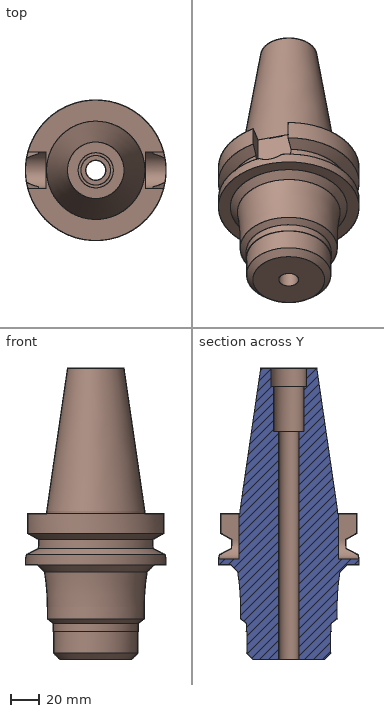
import cadquery as cq
import math


GAUGE_DIAMETER = 69.85
TAPER_RATIO = 7 / 24
TAPER_LENGTH = 101.8
NOSE_REACH = 105.2
OVERALL_LENGTH = TAPER_LENGTH + NOSE_REACH

FLANGE_DIAMETER = 100.0
FLANGE_TOP = 1.5
FLANGE_BOTTOM = 38.0
GROOVE_CENTER = 23.2
GROOVE_WIDTH = 15.0
GROOVE_FLOOR_DIAMETER = 85.0
GROOVE_FLANK_ANGLE = 30.0

FLANGE_CONE_RADIUS = 41.5
FLANGE_CONE_HEIGHT = 5.0

BODY_TOP_RADIUS = 36.5
BODY_RADIUS = 34.5
FLARE_BOTTOM = 37.0
BODY_BOTTOM = 28.9
NOSE_RADIUS = 30.0
NOSE_NECK_RADIUS = 30.25
NOSE_NECK_TOP = 25.6
NOSE_NECK_BOTTOM = 20.0
NOSE_CHAMFER = 4.5

SLOT_WIDTH = 25.7
SLOT_FLOOR_RADIUS = 35.4
SLOT_REACH = 33.8

COUNTERBORE_DIAMETER = 25.0
COUNTERBORE_DEPTH = 13.0
THREAD_BORE_DIAMETER = 21.0
THREAD_BORE_DEPTH = 45.0
THROUGH_DIAMETER = 14.0

gauge_radius = GAUGE_DIAMETER / 2
flange_radius = FLANGE_DIAMETER / 2
flange_top_z = NOSE_REACH - FLANGE_TOP
flange_bottom_z = NOSE_REACH - FLANGE_BOTTOM


def make_body():
    """Revolve the outer profile: taper, flange, flared body and nose."""
    taper_end_radius = gauge_radius - TAPER_LENGTH * TAPER_RATIO / 2
    flare_top = flange_bottom_z - FLANGE_CONE_HEIGHT
    profile = (
        cq.Workplane("XZ")
        .moveTo(0, 0)
        .lineTo(NOSE_RADIUS - NOSE_CHAMFER, 0)
        .lineTo(NOSE_RADIUS, NOSE_CHAMFER)
        .lineTo(NOSE_RADIUS, NOSE_NECK_BOTTOM)
        .lineTo(NOSE_NECK_RADIUS, NOSE_NECK_BOTTOM)
        .lineTo(NOSE_NECK_RADIUS, NOSE_NECK_TOP)
        .lineTo(BODY_RADIUS, BODY_BOTTOM)
        .lineTo(BODY_RADIUS, FLARE_BOTTOM)
        .tangentArcPoint((BODY_TOP_RADIUS, flare_top), relative=False)
        .lineTo(FLANGE_CONE_RADIUS, flange_bottom_z)
        .lineTo(flange_radius, flange_bottom_z)
        .lineTo(flange_radius, flange_top_z)
        .lineTo(gauge_radius, flange_top_z)
        .lineTo(gauge_radius, NOSE_REACH)
        .lineTo(taper_end_radius, OVERALL_LENGTH)
        .lineTo(0, OVERALL_LENGTH)
        .close()
    )
    return profile.revolve(360, (0, 0, 0), (0, 1, 0))


def make_groove():
    """Ring with the V-groove section, for cutting around the flange."""
    center_z = NOSE_REACH - GROOVE_CENTER
    floor_radius = GROOVE_FLOOR_DIAMETER / 2
    flank_height = (flange_radius - floor_radius) * math.tan(math.radians(GROOVE_FLANK_ANGLE))
    half_mouth = GROOVE_WIDTH / 2
    half_floor = half_mouth - flank_height
    profile = (
        cq.Workplane("XZ")
        .moveTo(floor_radius, center_z - half_floor)
        .lineTo(flange_radius, center_z - half_mouth)
        .lineTo(flange_radius, center_z + half_mouth)
        .lineTo(floor_radius, center_z + half_floor)
        .close()
    )
    return profile.revolve(360, (0, 0, 0), (0, 1, 0))


def make_drive_slot(side):
    """Round-bottomed slot, open at the flange top, on the +X (1) or -X (-1) side."""
    half_width = SLOT_WIDTH / 2
    slot_bottom = NOSE_REACH - SLOT_REACH
    arc_center_z = slot_bottom + half_width
    return (
        cq.Workplane("YZ")
        .workplane(offset=side * SLOT_FLOOR_RADIUS)
        .moveTo(-half_width, flange_top_z)
        .lineTo(-half_width, arc_center_z)
        .threePointArc((0, slot_bottom), (half_width, arc_center_z))
        .lineTo(half_width, flange_top_z)
        .close()
        .extrude(side * (flange_radius - SLOT_FLOOR_RADIUS))
    )


def make_bore(diameter, depth):
    """Round bore going down from the upper end."""
    return (
        cq.Workplane("XY")
        .workplane(offset=OVERALL_LENGTH - depth)
        .circle(diameter / 2)
        .extrude(depth)
    )


result = make_body().cut(make_groove())

for side in (-1, 1):
    result = result.cut(make_drive_slot(side))

for diameter, depth in (
    (COUNTERBORE_DIAMETER, COUNTERBORE_DEPTH),
    (THREAD_BORE_DIAMETER, THREAD_BORE_DEPTH),
    (THROUGH_DIAMETER, OVERALL_LENGTH),
):
    result = result.cut(make_bore(diameter, depth))